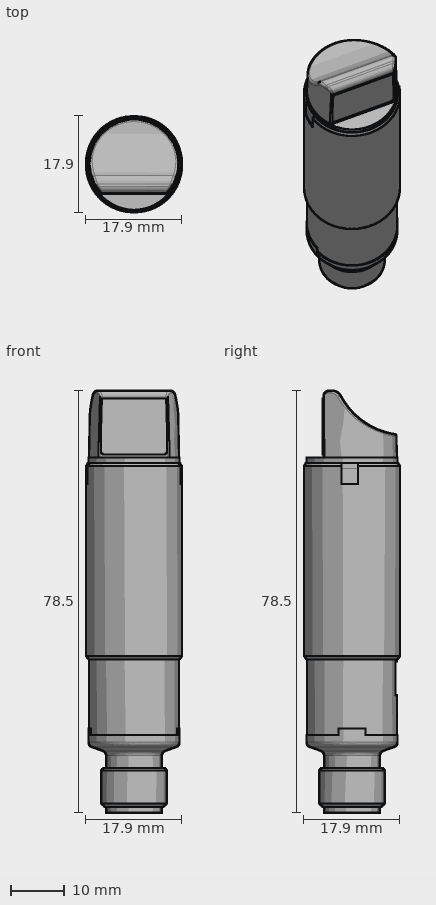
import cadquery as cq
import math

TOTAL_HEIGHT = 78.5
NUT_BOTTOM = 1.1
NUT_TOP = 8.4
SHOULDER_INNER_Z = 11.3
SHOULDER_OUTER_Z = 12.5
CAP_TOP = 14.5
SKIRT_TOP = 28.5
SLEEVE_TOP = 65.1
COLLAR_TOP = 66.1

NECK_RADIUS = 5.2
NUT_RADIUS = 6.1
CAP_RADIUS = 8.5
SKIRT_RADIUS = 8.4
SLEEVE_RADIUS = 8.95
COLLAR_RADIUS = 8.5
HEAD_BASE_RADIUS = 8.4
HEAD_DRAFT_DEG = 1.2

NUT_TOP_CHAMFER = 0.5
NUT_BOTTOM_CHAMFER = 0.7
SHOULDER_FILLET = 0.95
SLEEVE_BOTTOM_CHAMFER = 0.7
SLEEVE_TOP_CHAMFER_WIDTH = 0.4
SLEEVE_TOP_CHAMFER_HEIGHT = 0.6

CAP_TAB_WIDTH = 5.0
CAP_TAB_HEIGHT = 1.2
CAP_TAB_TOP = CAP_TOP + CAP_TAB_HEIGHT

KEY_WIDTH = 3.1
KEY_CENTER_Y = -0.4
KEY_BOTTOM = 61.15
KEY_SLOPE_BOTTOM = 64.0
KEY_DEPTH = 0.1

LABEL_BOTTOM = 21.9
LABEL_TOP = 28.2
LABEL_DEPTH = 0.3

FRONT_WALL_Y = -5.3
CREST_FRONT_RADIUS = 1.2
CREST_BACK_RADIUS = 1.8
SCOOP_RADIUS = 13.65
SCOOP_CENTER_Y = 10.0
SCOOP_CENTER_Z = 83.9
HEAD_EDGE_FILLET = 0.5

PANEL_WIDTH = 12.3
PANEL_BOTTOM = 66.6
PANEL_TOP = 77.0
PANEL_THICKNESS = 0.15
PANEL_CORNER_CHAMFER = 0.5

CLEARANCE = 0.4


def cylinder(radius, bottom, top):
    return cq.Workplane("XY").workplane(offset=bottom).circle(radius).extrude(top - bottom)


def centered_box(width_x, width_y, bottom, top, center_y=0.0):
    plane = cq.Workplane("XY").workplane(offset=bottom).center(0, center_y)
    return plane.rect(width_x, width_y).extrude(top - bottom)


def make_connector():
    """Neck, coupling nut and the end cap with its sloped, rounded shoulder and rim tabs."""
    cap = (
        cq.Workplane("XZ")
        .moveTo(0, 0)
        .lineTo(NECK_RADIUS, 0)
        .lineTo(NECK_RADIUS, SHOULDER_INNER_Z)
        .lineTo(CAP_RADIUS, SHOULDER_OUTER_Z)
        .lineTo(CAP_RADIUS, CAP_TAB_TOP)
        .lineTo(0, CAP_TAB_TOP)
        .close()
        .revolve(360, (0, 0, 0), (0, 1, 0))
    )
    shoulder_zone = cq.selectors.BoxSelector(
        (-CAP_RADIUS, -CAP_RADIUS, SHOULDER_INNER_Z - CLEARANCE),
        (CAP_RADIUS, CAP_RADIUS, SHOULDER_OUTER_Z + CLEARANCE),
    )
    cap = cap.edges("%CIRCLE").edges(shoulder_zone).fillet(SHOULDER_FILLET)
    nut = cylinder(NUT_RADIUS, NUT_BOTTOM, NUT_TOP)
    nut = nut.faces(">Z").chamfer(NUT_TOP_CHAMFER)
    nut = nut.faces("<Z").chamfer(NUT_BOTTOM_CHAMFER)
    return cap.cut(make_rim_cutter()).union(nut)


def make_rim_cutter():
    """Material removed from the cap rim to leave the two tabs standing, flush with the cap."""
    rim = cylinder(SLEEVE_RADIUS, CAP_TOP, CAP_TAB_TOP)
    tab_band = centered_box(2 * SLEEVE_RADIUS, CAP_TAB_WIDTH, CAP_TOP, CAP_TAB_TOP)
    return rim.cut(tab_band)


def make_skirt():
    skirt = cylinder(SKIRT_RADIUS, CAP_TOP, SKIRT_TOP)
    recess = centered_box(
        2 * SKIRT_RADIUS, 2 * LABEL_DEPTH, LABEL_BOTTOM, LABEL_TOP, center_y=SKIRT_RADIUS
    )
    return skirt.cut(recess)


def make_key_cutter():
    """Ring that thins the sleeve, trimmed to the width of the two keys."""
    chamfer_inner = SLEEVE_RADIUS - SLEEVE_TOP_CHAMFER_WIDTH
    floor_radius = SLEEVE_RADIUS - KEY_DEPTH
    outside = SLEEVE_RADIUS + CLEARANCE
    ring = (
        cq.Workplane("XZ")
        .moveTo(floor_radius, KEY_BOTTOM)
        .lineTo(outside, KEY_BOTTOM)
        .lineTo(outside, SLEEVE_TOP)
        .lineTo(chamfer_inner, SLEEVE_TOP)
        .lineTo(floor_radius, KEY_SLOPE_BOTTOM)
        .close()
        .revolve(360, (0, 0, 0), (0, 1, 0))
    )
    band = centered_box(2 * outside, KEY_WIDTH, KEY_BOTTOM, SLEEVE_TOP, center_y=KEY_CENTER_Y)
    return ring.intersect(band)


def make_sleeve():
    sleeve = cylinder(SLEEVE_RADIUS, SKIRT_TOP, SLEEVE_TOP)
    sleeve = sleeve.faces("<Z").chamfer(SLEEVE_BOTTOM_CHAMFER, SLEEVE_RADIUS - SKIRT_RADIUS)
    sleeve = sleeve.faces(">Z").edges().chamfer(SLEEVE_TOP_CHAMFER_HEIGHT, SLEEVE_TOP_CHAMFER_WIDTH)
    return sleeve.cut(make_key_cutter())


def make_head_profile():
    """Side outline of the head in the YZ plane, extruded across the full width."""
    crest_z = TOTAL_HEIGHT - CREST_BACK_RADIUS
    center_distance = SCOOP_RADIUS + CREST_BACK_RADIUS
    crest_drop = SCOOP_CENTER_Z - crest_z
    crest_reach = math.sqrt(center_distance**2 - crest_drop**2)
    crest_y = SCOOP_CENTER_Y - crest_reach
    tangent_angle = math.atan2(crest_drop, crest_reach)

    def on_crest(angle):
        return (
            crest_y + CREST_BACK_RADIUS * math.cos(angle),
            crest_z + CREST_BACK_RADIUS * math.sin(angle),
        )

    def on_scoop(angle):
        return (
            SCOOP_CENTER_Y - SCOOP_RADIUS * math.cos(angle),
            SCOOP_CENTER_Z - SCOOP_RADIUS * math.sin(angle),
        )

    scoop_end_angle = math.pi / 2
    scoop_end = on_scoop(scoop_end_angle)
    front_arc_y = FRONT_WALL_Y + CREST_FRONT_RADIUS
    front_arc_z = TOTAL_HEIGHT - CREST_FRONT_RADIUS
    diagonal = CREST_FRONT_RADIUS * math.sqrt(0.5)
    return (
        cq.Workplane("YZ")
        .moveTo(FRONT_WALL_Y, COLLAR_TOP)
        .lineTo(FRONT_WALL_Y, front_arc_z)
        .threePointArc((front_arc_y - diagonal, front_arc_z + diagonal), (front_arc_y, TOTAL_HEIGHT))
        .lineTo(crest_y, TOTAL_HEIGHT)
        .threePointArc(on_crest((math.pi / 2 + tangent_angle) / 2), on_crest(tangent_angle))
        .threePointArc(on_scoop((tangent_angle + scoop_end_angle) / 2), scoop_end)
        .lineTo(scoop_end[0], COLLAR_TOP)
        .close()
        .extrude(SLEEVE_RADIUS, both=True)
    )


def make_panel():
    return (
        cq.Workplane("XZ", origin=(0, FRONT_WALL_Y, (PANEL_BOTTOM + PANEL_TOP) / 2))
        .rect(PANEL_WIDTH, PANEL_TOP - PANEL_BOTTOM)
        .extrude(PANEL_THICKNESS)
        .edges("|Y and <Z")
        .chamfer(PANEL_CORNER_CHAMFER)
    )


def make_head():
    body = (
        cq.Workplane("XY")
        .workplane(offset=COLLAR_TOP)
        .circle(HEAD_BASE_RADIUS)
        .extrude(TOTAL_HEIGHT - COLLAR_TOP, taper=HEAD_DRAFT_DEG)
    )
    head = body.intersect(make_head_profile())
    head = head.faces(">Z").edges("not |X").fillet(HEAD_EDGE_FILLET)
    return head.union(make_panel())


collar = cylinder(COLLAR_RADIUS, SLEEVE_TOP, COLLAR_TOP)

result = (
    make_connector()
    .union(make_skirt())
    .union(make_sleeve())
    .union(collar)
    .union(make_head())
)